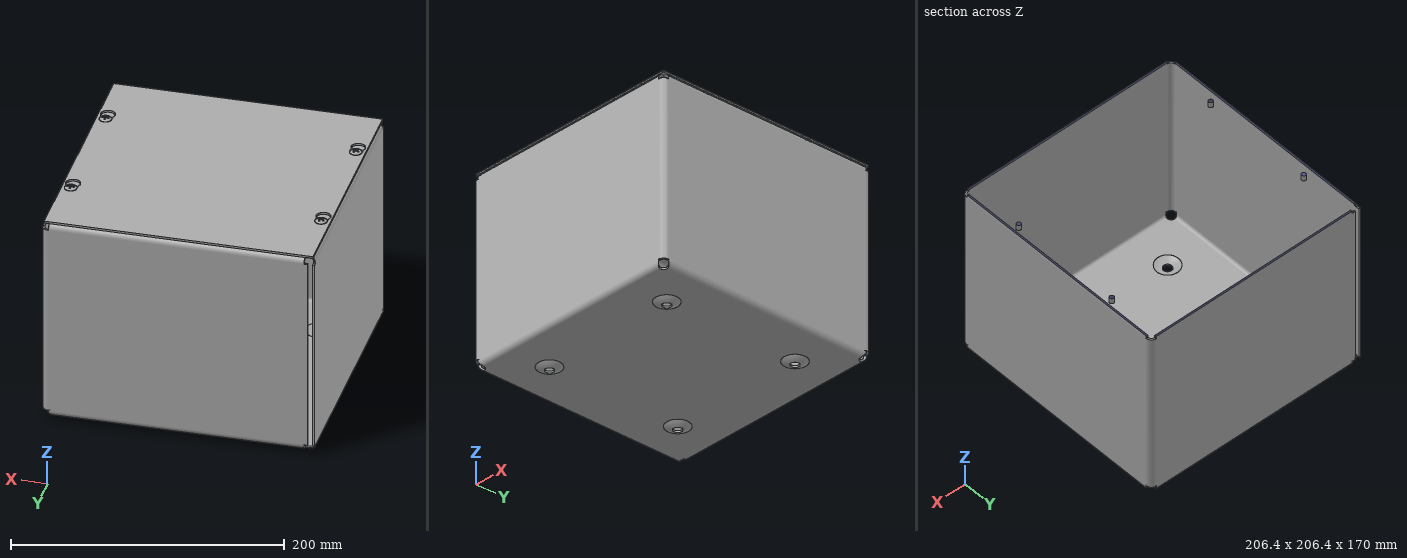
import cadquery as cq
import math

sheet = 1.5875
inside_width = 203.2
box_width = inside_width + 2 * sheet
half_width = box_width / 2
overall_height = 170.0
corner_radius = 5.3
edge_radius = 4.8
flange_width = 16.0

foot_height = 2.9
foot_diameter = 21.0
foot_spacing = 127.0
mounting_hole_diameter = 7.62

screw_shank_diameter = 4.17
screw_hole_diameter = 4.19
screw_head_diameter = 9.3
screw_rim_height = 0.3
screw_head_height = 2.1
screw_length = 9.5
screw_inset = 8.7
screw_spacing_x = box_width - 2 * screw_inset
screw_spacing_y = 101.6
recess_span = 5.3
recess_arm_width = 0.8
recess_depth = 1.0
recess_turn_left = -25.0
recess_turn_right = 0.0

keyhole_entry_diameter = 10.9
keyhole_slot_width = 9.0
keyhole_travel = 7.1

floor_relief_radius = 3.9
floor_relief_inset = 3.8
floor_relief_height = 5.5
seam_relief_length = 2.8
seam_mitre_depth = 3.4
seam_bend_start = 8.0

box_height = overall_height - foot_height - sheet - screw_head_height
lid_top = box_height + sheet

foot_places = [(x * foot_spacing / 2, y * foot_spacing / 2) for x in (-1, 1) for y in (-1, 1)]
screw_places = [(x * screw_spacing_x / 2, y * screw_spacing_y / 2) for x in (-1, 1) for y in (-1, 1)]


def rounded_block(width, height, base_z, upright_radius, rim_radius):
    """Block with all edges rounded except the vertical one at the -X, +Y seam corner."""
    block = cq.Workplane("XY").box(width, width, height, centered=(True, True, False))
    block = block.edges("|Z").edges(">X or <Y").fillet(upright_radius)
    block = block.faces("<Z or >Z").edges().fillet(rim_radius)
    return block.translate((0, 0, base_z))


def dome(base_diameter, height, top_diameter):
    """Slice of a ball standing on Z = 0, narrowing to the top diameter at the given height."""
    base_radius = base_diameter / 2
    top_radius = top_diameter / 2
    centre_depth = (base_radius**2 - top_radius**2 - height**2) / (2 * height)
    ball_radius = math.hypot(base_radius, centre_depth)
    ball = cq.Workplane("XY").sphere(ball_radius).translate((0, 0, -centre_depth))
    keep = cq.Workplane("XY").box(base_diameter, base_diameter, height, centered=(True, True, False))
    return ball.intersect(keep)


def corner_reliefs():
    """Openings where the bends would meet, at the three bent vertical corners."""
    cuts = []
    for x, y in ((-1, -1), (1, -1), (1, 1)):
        corner = (x * half_width, y * half_width)
        inset = half_width - floor_relief_inset
        notch = cq.Workplane("XY").box(2 * corner_radius, 2 * corner_radius, 2 * edge_radius)
        low_notch = cq.Workplane("XY").box(2 * corner_radius, 2 * corner_radius, 2 * floor_relief_height)
        floor_round = cq.Workplane("XY").circle(floor_relief_radius).extrude(floor_relief_height)
        cuts.append(notch.translate((*corner, box_height)))
        cuts.append(low_notch.translate((*corner, 0)))
        cuts.append(floor_round.translate((x * inset, y * inset, 0)))
    return cuts


def seam_cuts():
    """Gap between the -X and +Y walls, and the notches in the bends at its ends."""
    gap_width = corner_radius - sheet
    gap = cq.Workplane("XY").box(gap_width, edge_radius, box_height, centered=False)
    gap = gap.translate((-inside_width / 2, half_width - edge_radius, 0))
    notch = (
        cq.Workplane("XY")
        .moveTo(-half_width, half_width)
        .lineTo(-half_width, half_width - seam_relief_length)
        .lineTo(-half_width + seam_mitre_depth, half_width - edge_radius)
        .lineTo(-half_width + seam_bend_start, half_width - edge_radius)
        .lineTo(-half_width + seam_bend_start, half_width)
        .close()
        .extrude(edge_radius)
    )
    return [gap, notch, notch.translate((0, 0, box_height - edge_radius))]


def make_box():
    """Folded box with a rim for the lid, embossed feet with mounting holes, and screw holes."""
    body = rounded_block(box_width, box_height, 0, corner_radius, edge_radius)
    inside_height = box_height - 2 * sheet
    inner_radii = (corner_radius - sheet, edge_radius - sheet)
    body = body.cut(rounded_block(inside_width, inside_height, sheet, *inner_radii))
    opening = box_width - 2 * flange_width
    body = body.cut(cq.Workplane("XY").box(opening, opening, sheet).translate((0, 0, box_height - sheet / 2)))
    for cut in corner_reliefs() + seam_cuts():
        body = body.cut(cut)

    outer_foot = dome(foot_diameter, foot_height, mounting_hole_diameter).rotate((0, 0, 0), (1, 0, 0), 180)
    foot_hollow = outer_foot.translate((0, 0, sheet))
    foot_bore = cq.Workplane("XY").circle(mounting_hole_diameter / 2).extrude(-2 * foot_height)
    for x, y in foot_places:
        body = body.union(outer_foot.translate((x, y, 0)))
        body = body.cut(foot_hollow.translate((x, y, 0)))
        body = body.cut(foot_bore.translate((x, y, sheet)))

    rim_plane = cq.Workplane("XY", origin=(0, 0, box_height))
    screw_holes = rim_plane.pushPoints(screw_places).circle(screw_hole_diameter / 2).extrude(-sheet)
    return body.cut(screw_holes)


def make_lid():
    """Flat lid with four keyholes, each entered on its -Y side."""
    lid = cq.Workplane("XY").box(inside_width, inside_width, sheet, centered=(True, True, False))
    entry_places = [(x, y - keyhole_travel) for x, y in screw_places]
    slot_places = [(x, y - keyhole_travel / 2) for x, y in screw_places]
    entries = cq.Workplane("XY").pushPoints(entry_places).circle(keyhole_entry_diameter / 2).extrude(sheet)
    slot_length = keyhole_travel + keyhole_slot_width
    slots = cq.Workplane("XY").pushPoints(slot_places)
    slots = slots.slot2D(slot_length, keyhole_slot_width, 90).extrude(sheet)
    return lid.cut(entries).cut(slots).translate((0, 0, box_height))


def make_screw(x, y):
    """Screw with a cross-recessed head resting on the lid."""
    rim = cq.Workplane("XY").circle(screw_head_diameter / 2).extrude(screw_rim_height)
    recess_corner_span = recess_arm_width * math.sqrt(2)
    head_dome = dome(screw_head_diameter, screw_head_height - screw_rim_height, recess_corner_span)
    head = rim.union(head_dome.translate((0, 0, screw_rim_height)))
    shank = cq.Workplane("XY").circle(screw_shank_diameter / 2).extrude(-screw_length)
    screw = head.union(shank)
    turn = recess_turn_left if x < 0 else recess_turn_right
    for angle in (turn, turn + 90):
        arm = cq.Workplane("XY").box(recess_span, recess_arm_width, 2 * recess_depth)
        screw = screw.cut(arm.translate((0, 0, screw_head_height)).rotate((0, 0, 0), (0, 0, 1), angle))
    return screw.translate((x, y, lid_top))


box = make_box()
lid = make_lid()
screws = [make_screw(x, y) for x, y in screw_places]
result = cq.Compound.makeCompound([box.val(), lid.val(), *[screw.val() for screw in screws]])